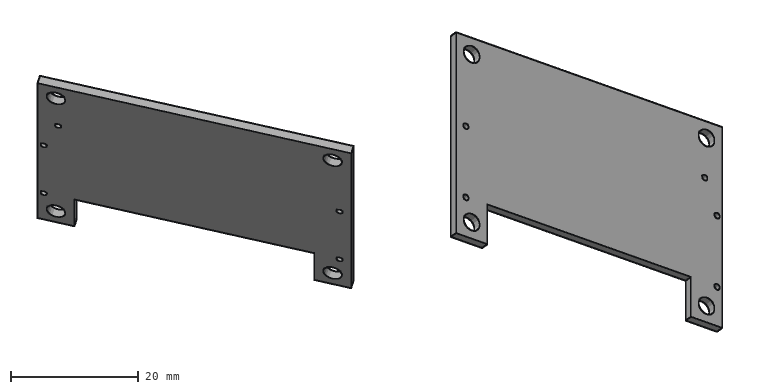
import cadquery as cq

width = 51.1
thickness = 1.5
height = 36.65

leg_width = 6.05
leg_height = 7.25

mount_diameter = 3.0
mount_inset = 3.0

pin_diameter = 1.0
left_pin_inset = 1.0
right_pin_inset = 1.9
pin_heights = (7.15, 20.15)
single_pin_inset = 3.35
single_pin_height = 26.25


def paired_points(left_inset, right_inset, heights):
    """Points inset from the left and right edges, at each height."""
    return [(x, z) for x in (left_inset, width - right_inset) for z in heights]


def drill(points, diameter):
    """Cylinders through the whole plate, for cutting holes."""
    return cq.Workplane("XZ").pushPoints(points).circle(diameter / 2).extrude(-thickness)


plate = cq.Workplane("XY").box(width, thickness, height, centered=False)
notch = (
    cq.Workplane("XY")
    .box(width - 2 * leg_width, thickness, leg_height, centered=False)
    .translate((leg_width, 0, 0))
)

mount_heights = (mount_inset, height - mount_inset)
mount_points = paired_points(mount_inset, mount_inset, mount_heights)
pin_points = paired_points(left_pin_inset, right_pin_inset, pin_heights)
pin_points.append((single_pin_inset, single_pin_height))

result = (
    plate.cut(notch)
    .cut(drill(mount_points, mount_diameter))
    .cut(drill(pin_points, pin_diameter))
)